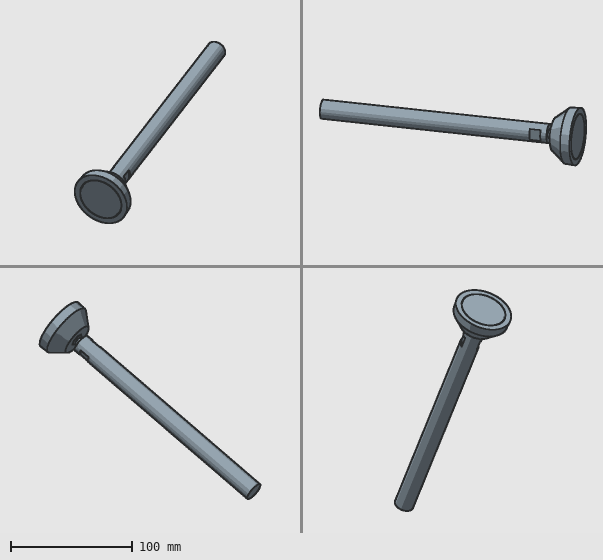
import cadquery as cq
import math

overall_length = 220.0

sole_diameter = 48.0
rim_top_diameter = 47.0
foot_top_diameter = 28.2
rim_height = 8.1
foot_height = 20.0

groove_outer_diameter = 38.0
groove_inner_diameter = 37.5
groove_depth = 2.2

rod_diameter = 16.0
rod_start = 24.6
neck_diameter = 7.7

ball_diameter = 13.2
neck_base = 21.3

flat_start = 30.1
flat_end = 39.4
across_flats = 13.0

ball_radius = ball_diameter / 2
ball_centre = neck_base - math.sqrt(ball_radius**2 - (neck_diameter / 2) ** 2)


def make_ball():
    return cq.Workplane("XY").sphere(ball_radius).translate((0, ball_centre, 0))


def cylinder_along_y(diameter, start, end):
    return (
        cq.Workplane("XZ", origin=(0, start, 0))
        .circle(diameter / 2)
        .extrude(start - end)
    )


def cone_along_y(start_diameter, end_diameter, start, end):
    return cq.Workplane(
        cq.Solid.makeCone(
            start_diameter / 2,
            end_diameter / 2,
            end - start,
            pnt=cq.Vector(0, start, 0),
            dir=cq.Vector(0, 1, 0),
        )
    )


def make_foot():
    rim = cone_along_y(sole_diameter, rim_top_diameter, 0, rim_height)
    shoulder = cone_along_y(rim_top_diameter, foot_top_diameter, rim_height, foot_height)
    groove_core = cylinder_along_y(groove_inner_diameter, 0, groove_depth)
    groove = cylinder_along_y(groove_outer_diameter, 0, groove_depth).cut(groove_core)
    return rim.union(shoulder).cut(groove).cut(make_ball())


def make_spindle():
    rod = cylinder_along_y(rod_diameter, rod_start, overall_length)
    flat_length = flat_end - flat_start
    flat_cut_depth = (rod_diameter - across_flats) / 2
    for side in (-1, 1):
        cutter = cq.Workplane("XY").box(flat_cut_depth, flat_length, rod_diameter)
        cutter_x = side * (across_flats + flat_cut_depth) / 2
        rod = rod.cut(cutter.translate((cutter_x, (flat_start + flat_end) / 2, 0)))
    neck = cylinder_along_y(neck_diameter, ball_centre, rod_start)
    return rod.union(neck).union(make_ball())


foot = make_foot()
spindle = make_spindle()

result = cq.Compound.makeCompound([foot.val(), spindle.val()])